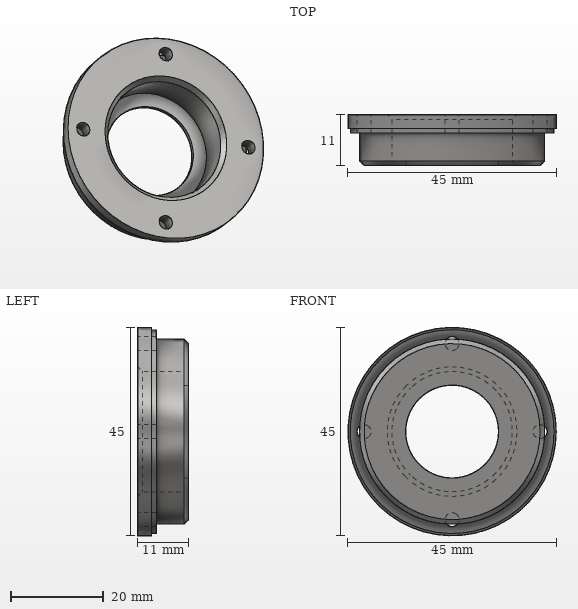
import cadquery as cq

total_depth = 11.0
flange_diameter = 45.0
flange_thickness = 3.0
step_diameter = 44.0
step_thickness = 1.0
body_diameter = 40.0
body_chamfer = 1.0

lip_bore_diameter = 20.0
lip_thickness = 1.0
seat_diameter = 26.0
seat_entry_chamfer = 1.0

screw_hole_diameter = 3.0
screw_circle_diameter = 38.0
screw_hole_count = 4

rear_y = total_depth / 2
front_y = -rear_y


def disc(diameter, start_y, length):
    """Solid cylinder on the Y axis, running from start_y towards +Y."""
    plane = cq.Workplane("XZ", origin=(0, start_y, 0))
    return plane.circle(diameter / 2).extrude(-length)


def make_outer_shape():
    body = disc(body_diameter, front_y, total_depth)
    body = body.faces("<Y").chamfer(body_chamfer)
    flange = disc(flange_diameter, rear_y - flange_thickness, flange_thickness)
    step_depth = flange_thickness + step_thickness
    step = disc(step_diameter, rear_y - step_depth, step_depth)
    return body.union(step).union(flange)


def cut_bore(part):
    """Open the front lip and bore the bearing seat, chamfered at its rear mouth."""
    lip_bore = disc(lip_bore_diameter, front_y, total_depth)
    seat = disc(seat_diameter, front_y + lip_thickness, total_depth - lip_thickness)
    part = part.cut(lip_bore).cut(seat)
    seat_radius = seat_diameter / 2
    entry = (
        cq.Workplane("XY")
        .moveTo(0, rear_y - seat_entry_chamfer)
        .lineTo(seat_radius, rear_y - seat_entry_chamfer)
        .lineTo(seat_radius + seat_entry_chamfer, rear_y)
        .lineTo(0, rear_y)
        .close()
        .revolve(360, (0, 0, 0), (0, 1, 0))
    )
    return part.cut(entry)


def cut_screw_holes(part):
    """Blind holes from the rear, as deep as the flange and its step."""
    depth = flange_thickness + step_thickness
    holes = (
        cq.Workplane("XZ", origin=(0, rear_y - depth, 0))
        .polarArray(screw_circle_diameter / 2, 0, 360, screw_hole_count)
        .circle(screw_hole_diameter / 2)
        .extrude(-depth)
    )
    return part.cut(holes)


result = cut_screw_holes(cut_bore(make_outer_shape()))